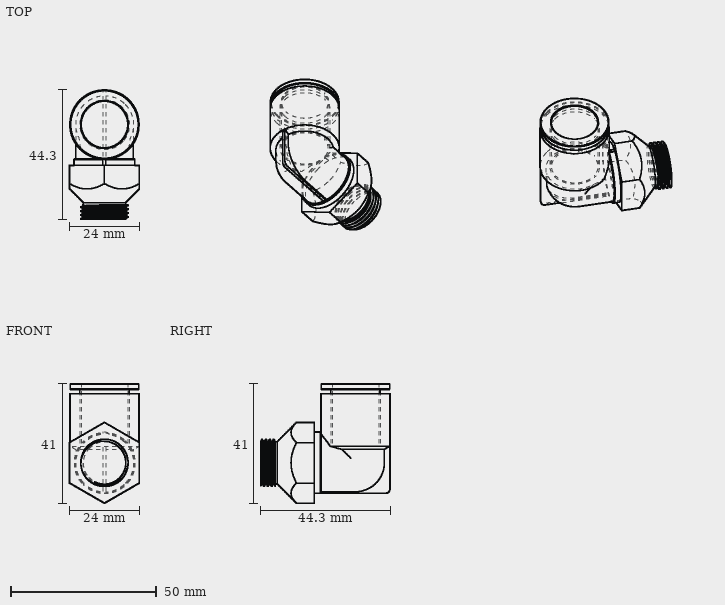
import cadquery as cq
import math

SOCKET_RADIUS = 11.87
SOCKET_TOP = 23.75
SOCKET_BOTTOM = 5.7
SOCKET_TAPER_BOTTOM = 4.65
ELBOW_RADIUS = 9.92
COLLAR_RADIUS = 10.45
COLLAR_START = 11.8
COLLAR_END = 14.05
COLLAR_CHAMFER = 0.25
RIB_WIDTH = 1.0
RIB_TOP = 10.6
GUSSET_CORNER_RADIUS = 1.55

SLEEVE_RADIUS = 8.5
SLEEVE_BORE_RADIUS = 7.97
SLEEVE_FLANGE_RADIUS = 11.8
SLEEVE_FLANGE_THICKNESS = 2.0
SLEEVE_TOP = 27.1
SLEEVE_CHAMFER = 0.2

HEX_ACROSS_FLATS = 24.0
HEX_CORNER_RADIUS = HEX_ACROSS_FLATS / math.sqrt(3)
HEX_CONE_START = 20.25
HEX_CONE_END = 26.75
SCREW_CORE_RADIUS = 7.3
SCREW_END = 32.43

THREAD_START = 27.45
THREAD_RADIUS = 8.1
THREAD_PITCH = 1.35
THREAD_FIRST_CREST = 27.7
THREAD_BASE_WIDTH = 1.1
THREAD_CREST_WIDTH = 0.15
THREAD_ROOT_OVERLAP = 0.15


def along_screw_axis(shape):
    """Turn a shape built along +Z so that it runs along -Y."""
    return shape.rotate((0, 0, 0), (1, 0, 0), 90)


def cylinder(radius, bottom, top):
    return cq.Workplane("XY").workplane(offset=bottom).circle(radius).extrude(top - bottom)


def make_elbow_tube():
    """Upright and level tubes joined by a spherical corner."""
    upright = cylinder(ELBOW_RADIUS, 0, SOCKET_BOTTOM)
    level = along_screw_axis(cylinder(ELBOW_RADIUS, 0, COLLAR_END))
    corner = cq.Workplane("XY").sphere(ELBOW_RADIUS)
    return upright.union(level).union(corner)


def make_socket():
    """Outer socket wall with a taper down to the elbow tube."""
    return (
        cq.Workplane("XZ")
        .moveTo(0, SOCKET_TAPER_BOTTOM)
        .lineTo(ELBOW_RADIUS, SOCKET_TAPER_BOTTOM)
        .lineTo(SOCKET_RADIUS, SOCKET_BOTTOM)
        .lineTo(SOCKET_RADIUS, SOCKET_TOP)
        .lineTo(0, SOCKET_TOP)
        .close()
        .revolve(360, (0, 0, 0), (0, 1, 0))
    )


def make_collar():
    """Collar facing the hex, with a thin rib along its top."""
    collar = cylinder(COLLAR_RADIUS, COLLAR_START, COLLAR_END).faces("<Z").chamfer(COLLAR_CHAMFER)
    rib = cq.Workplane("XY").box(
        RIB_WIDTH, COLLAR_END - COLLAR_START, RIB_TOP, centered=(True, False, False)
    ).translate((0, -COLLAR_END, 0))
    return along_screw_axis(collar).union(rib)


def make_gusset():
    """Thin central web filling the outside of the elbow."""
    return (
        cq.Workplane("XY")
        .box(
            RIB_WIDTH,
            SOCKET_RADIUS + COLLAR_START,
            COLLAR_RADIUS + SOCKET_BOTTOM,
            centered=(True, False, False),
        )
        .translate((0, -COLLAR_START, -COLLAR_RADIUS))
        .edges("|X and >Y and <Z")
        .fillet(GUSSET_CORNER_RADIUS)
    )


def make_body():
    sleeve_seat = cylinder(SLEEVE_RADIUS, SOCKET_BOTTOM, SOCKET_TOP)
    return (
        make_elbow_tube()
        .union(make_socket())
        .union(make_collar())
        .union(make_gusset())
        .cut(sleeve_seat)
    )


def make_release_sleeve():
    """Flanged tube reaching down to the socket floor."""
    tube = cylinder(SLEEVE_RADIUS, SOCKET_BOTTOM, SLEEVE_TOP)
    flange = cylinder(SLEEVE_FLANGE_RADIUS, SLEEVE_TOP - SLEEVE_FLANGE_THICKNESS, SLEEVE_TOP)
    flange = flange.edges().chamfer(SLEEVE_CHAMFER)
    bore = cylinder(SLEEVE_BORE_RADIUS, SOCKET_BOTTOM, SLEEVE_TOP)
    sleeve = tube.union(flange).cut(bore)
    bore_mouth = cq.selectors.RadiusNthSelector(0)
    return sleeve.faces(">Z").edges(bore_mouth).chamfer(SLEEVE_CHAMFER)


def make_hex_head():
    """Hexagon with corners on +Z and -Z, tapering to the screw core."""
    hexagon = (
        cq.Workplane("XY")
        .workplane(offset=COLLAR_END)
        .polygon(6, 2 * HEX_CORNER_RADIUS)
        .extrude(HEX_CONE_END - COLLAR_END)
        .rotate((0, 0, 0), (0, 0, 1), 90)
    )
    envelope = (
        cq.Workplane("XZ")
        .moveTo(0, COLLAR_END)
        .lineTo(HEX_CORNER_RADIUS, COLLAR_END)
        .lineTo(HEX_CORNER_RADIUS, HEX_CONE_START)
        .lineTo(SCREW_CORE_RADIUS, HEX_CONE_END)
        .lineTo(0, HEX_CONE_END)
        .close()
        .revolve(360, (0, 0, 0), (0, 1, 0))
    )
    return hexagon.intersect(envelope)


def make_threaded_shank():
    """Screw core with a right-handed helical ridge, trimmed square at both ends."""
    start = THREAD_FIRST_CREST - THREAD_PITCH
    length = SCREW_END + THREAD_PITCH - start
    root_radius = SCREW_CORE_RADIUS - THREAD_ROOT_OVERLAP
    helix = cq.Wire.makeHelix(THREAD_PITCH, length, SCREW_CORE_RADIUS, cq.Vector(0, 0, start))
    ridge = (
        cq.Workplane("XZ")
        .moveTo(root_radius, start - THREAD_BASE_WIDTH / 2)
        .lineTo(THREAD_RADIUS, start - THREAD_CREST_WIDTH / 2)
        .lineTo(THREAD_RADIUS, start + THREAD_CREST_WIDTH / 2)
        .lineTo(root_radius, start + THREAD_BASE_WIDTH / 2)
        .close()
        .sweep(cq.Workplane(obj=helix), isFrenet=True)
    )
    core = cylinder(SCREW_CORE_RADIUS, start - THREAD_PITCH, SCREW_END + 2 * THREAD_PITCH)
    trim = cylinder(HEX_CORNER_RADIUS, THREAD_START, SCREW_END)
    return core.union(ridge).intersect(trim)


def make_screw():
    neck = cylinder(SCREW_CORE_RADIUS, COLLAR_END, THREAD_START)
    return along_screw_axis(make_hex_head().union(neck).union(make_threaded_shank()))


body = make_body()
release_sleeve = make_release_sleeve()
screw = make_screw()

result = cq.Compound.makeCompound([*body.solids().vals(), *release_sleeve.solids().vals(), *screw.solids().vals()])